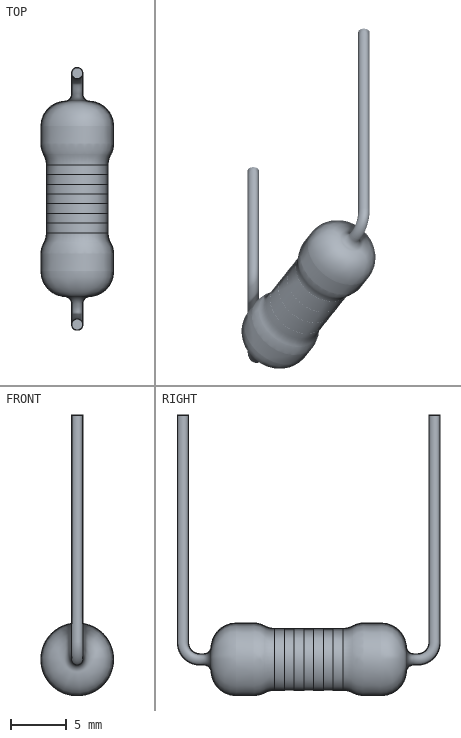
import cadquery as cq
import math


lead_radius = 0.5
lead_span = 22.5
bend_radius = 1.5
total_height = 25.1

cap_radius = 6.5 / 2
neck_radius = 5.52 / 2
band_radius = 5.55 / 2
band_count = 7
band_zone_length = 6.1
waist_length = 9.85
dome_start = 6.48
dome_radius = 2.25
collar_end = 9.35

lead_y = lead_span / 2
lead_top = total_height - cap_radius
bend_end_y = lead_y - bend_radius
band_length = band_zone_length / band_count
band_zone_end = band_zone_length / 2
waist_end = waist_length / 2

shoulder_length = waist_end - band_zone_end
shoulder_rise = cap_radius - neck_radius
shoulder_radius = (shoulder_length**2 + shoulder_rise**2) / (4 * shoulder_rise)
shoulder_mid = ((neck_radius + cap_radius) / 2, (band_zone_end + waist_end) / 2)

dome_center_r = cap_radius - dome_radius
center_gap = collar_end - dome_start
radial_gap = dome_center_r - lead_radius
collar_radius = (center_gap**2 + radial_gap**2 - dome_radius**2) / (2 * (dome_radius + radial_gap))
collar_center_r = lead_radius + collar_radius
contact_angle = math.atan2(center_gap, collar_center_r - dome_center_r)


def arc_point(center_r, center_y, radius, angle):
    """Point on a circle in the half section, as (distance from axis, Y)."""
    return (center_r + radius * math.cos(angle), center_y + radius * math.sin(angle))


def make_body_end():
    """Revolve the +Y end of the body, from the band zone to the collar end."""
    contact = arc_point(dome_center_r, dome_start, dome_radius, contact_angle)
    dome_mid = arc_point(dome_center_r, dome_start, dome_radius, contact_angle / 2)
    collar_angle = math.pi + contact_angle / 2
    collar_mid = arc_point(collar_center_r, collar_end, collar_radius, collar_angle)
    half_sweep = math.asin(shoulder_length / 2 / shoulder_radius) / 2
    neck_arc_mid = arc_point(
        neck_radius + shoulder_radius, band_zone_end, shoulder_radius, math.pi - half_sweep
    )
    cap_arc_mid = arc_point(
        cap_radius - shoulder_radius, waist_end, shoulder_radius, -half_sweep
    )
    return (
        cq.Workplane("XY")
        .moveTo(0, band_zone_end)
        .lineTo(neck_radius, band_zone_end)
        .threePointArc(neck_arc_mid, shoulder_mid)
        .threePointArc(cap_arc_mid, (cap_radius, waist_end))
        .lineTo(cap_radius, dome_start)
        .threePointArc(dome_mid, contact)
        .threePointArc(collar_mid, (lead_radius, collar_end))
        .lineTo(0, collar_end)
        .close()
        .revolve(360, (0, 0, 0), (0, 1, 0))
    )


def make_disc(radius, start_y, length):
    """Solid disc around the body axis, running toward +Y."""
    return cq.Workplane("XZ", origin=(0, start_y, 0)).circle(radius).extrude(-length)


def make_leads():
    """One wire through the body, bent up at both ends."""
    bend_inset = bend_radius * math.sin(math.pi / 4)
    bend_drop = bend_radius - bend_inset
    path = (
        cq.Workplane("YZ")
        .moveTo(-lead_y, lead_top)
        .lineTo(-lead_y, bend_radius)
        .threePointArc((-bend_end_y - bend_inset, bend_drop), (-bend_end_y, 0))
        .lineTo(bend_end_y, 0)
        .threePointArc((bend_end_y + bend_inset, bend_drop), (lead_y, bend_radius))
        .lineTo(lead_y, lead_top)
    )
    return cq.Workplane("XY", origin=(0, -lead_y, lead_top)).circle(lead_radius).sweep(path)


body_end = make_body_end()
neck = make_disc(neck_radius, -band_zone_end, band_zone_length)
result = neck.union(body_end).union(body_end.mirror("XZ"))
for index in range(0, band_count, 2):
    band_start = -band_zone_end + index * band_length
    result = result.union(make_disc(band_radius, band_start, band_length))
result = result.union(make_leads())